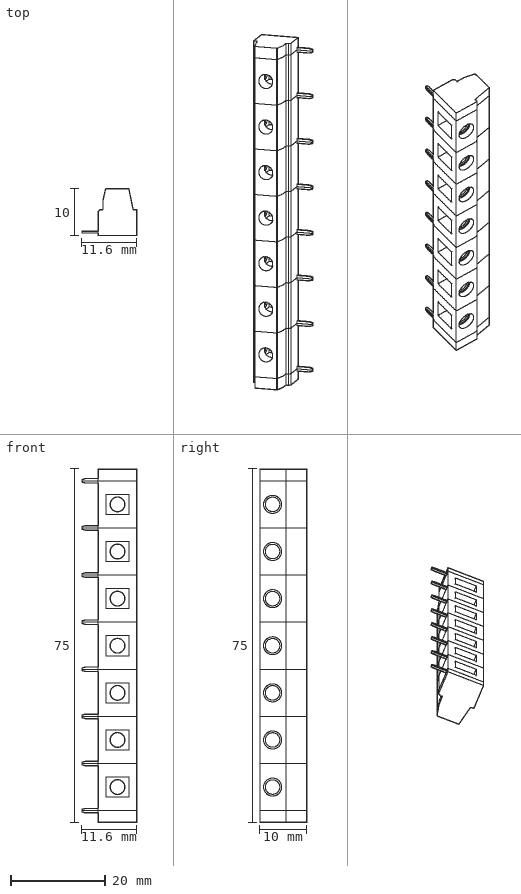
import cadquery as cq

TOTAL_HEIGHT = 75.0
MODULE_COUNT = 7
MODULE_PITCH = TOTAL_HEIGHT / (MODULE_COUNT + 0.5)
END_THICKNESS = MODULE_PITCH / 4

BODY_WIDTH = 8.2
BODY_DEPTH = 10.0
BASE_DEPTH = 5.55
BASE_CHAMFER = 0.4
RIDGE_LEFT = 1.0
RIDGE_RIGHT = 7.4
RIDGE_BACK_LEFT = 1.5
RIDGE_BACK_RIGHT = 6.5
RIDGE_KINK_Y = 7.4
RIDGE_CHAMFER = 0.15

POCKET_WIDTH = 4.8
POCKET_HEIGHT = 4.3
POCKET_DEPTH = 6.0
POCKET_CENTER_X = BODY_WIDTH / 2
WIRE_HOLE_DIAMETER = 3.1

SCREW_BORE_DIAMETER = 3.8
SCREW_LIP_DIAMETER = WIRE_HOLE_DIAMETER
SCREW_LIP_THICKNESS = 0.4
SCREW_HOLE_Y = 2.7

PIN_LENGTH = 3.45
PIN_HEIGHT = MODULE_PITCH / 10
PIN_THICKNESS = 0.45
PIN_CENTER_Y = 0.75
PIN_TIP_LENGTH = 0.75
PIN_TIP_HEIGHT = 0.6


def profile_block(bottom_z, height):
    """Solid of the common profile standing on the height bottom_z."""
    return (
        cq.Workplane("XY", origin=(0, 0, bottom_z))
        .moveTo(0, 0)
        .lineTo(BODY_WIDTH, 0)
        .lineTo(BODY_WIDTH, BASE_DEPTH)
        .lineTo(RIDGE_RIGHT, BASE_DEPTH)
        .lineTo(RIDGE_BACK_RIGHT, BODY_DEPTH)
        .lineTo(RIDGE_BACK_LEFT + RIDGE_CHAMFER, BODY_DEPTH)
        .lineTo(RIDGE_BACK_LEFT, BODY_DEPTH - RIDGE_CHAMFER)
        .lineTo(RIDGE_LEFT, RIDGE_KINK_Y)
        .lineTo(RIDGE_LEFT, BASE_DEPTH)
        .lineTo(BASE_CHAMFER, BASE_DEPTH)
        .lineTo(0, BASE_DEPTH - BASE_CHAMFER)
        .close()
        .extrude(height)
    )


def half_pin(joint_z, side):
    """Half of a pin with a tapered tip, above (side = 1) or below (side = -1) a joint."""
    return (
        cq.Workplane("XZ", origin=(0, PIN_CENTER_Y, joint_z))
        .moveTo(0, 0)
        .lineTo(-PIN_LENGTH, 0)
        .lineTo(-PIN_LENGTH, side * PIN_TIP_HEIGHT / 2)
        .lineTo(-PIN_LENGTH + PIN_TIP_LENGTH, side * PIN_HEIGHT / 2)
        .lineTo(0, side * PIN_HEIGHT / 2)
        .close()
        .extrude(PIN_THICKNESS / 2, both=True)
    )


def wire_entry(center_z):
    """Pocket and through hole that take the wire."""
    pocket = cq.Workplane("XY", origin=(POCKET_CENTER_X, 0, center_z)).box(
        POCKET_WIDTH, POCKET_DEPTH, POCKET_HEIGHT, centered=(True, False, True)
    )
    hole = (
        cq.Workplane("XZ", origin=(POCKET_CENTER_X, 0, center_z))
        .circle(WIRE_HOLE_DIAMETER / 2)
        .extrude(-BODY_DEPTH)
    )
    return pocket.union(hole)


def screw_cylinder(start_x, center_z, diameter):
    """Cylinder along X from start_x out to the right side."""
    return (
        cq.Workplane("YZ", origin=(start_x, SCREW_HOLE_Y, center_z))
        .circle(diameter / 2)
        .extrude(BODY_WIDTH - start_x)
    )


def screw_hole(center_z):
    """Stepped hole from the pocket out through the right side."""
    lip_outer_x = POCKET_CENTER_X + POCKET_WIDTH / 2 + SCREW_LIP_THICKNESS
    lip_hole = screw_cylinder(POCKET_CENTER_X, center_z, SCREW_LIP_DIAMETER)
    bore = screw_cylinder(lip_outer_x, center_z, SCREW_BORE_DIAMETER)
    return lip_hole.union(bore)


def terminal_module(bottom_z):
    """One module with its wire entry, screw hole and the pin halves at both joints."""
    top_z = bottom_z + MODULE_PITCH
    center_z = bottom_z + MODULE_PITCH / 2
    return (
        profile_block(bottom_z, MODULE_PITCH)
        .cut(wire_entry(center_z))
        .cut(screw_hole(center_z))
        .union(half_pin(bottom_z, 1))
        .union(half_pin(top_z, -1))
    )


def end_plate(bottom_z, joint_z, pin_side):
    """Plain end piece with the pin half at its joint with the nearest module."""
    return profile_block(bottom_z, END_THICKNESS).union(half_pin(joint_z, pin_side))


first_joint_z = END_THICKNESS
last_joint_z = TOTAL_HEIGHT - END_THICKNESS

modules = [terminal_module(first_joint_z + i * MODULE_PITCH) for i in range(MODULE_COUNT)]
bottom_plate = end_plate(0, first_joint_z, -1)
top_plate = end_plate(last_joint_z, last_joint_z, 1)

result = cq.Compound.makeCompound(
    [bottom_plate.val(), *[module.val() for module in modules], top_plate.val()]
)